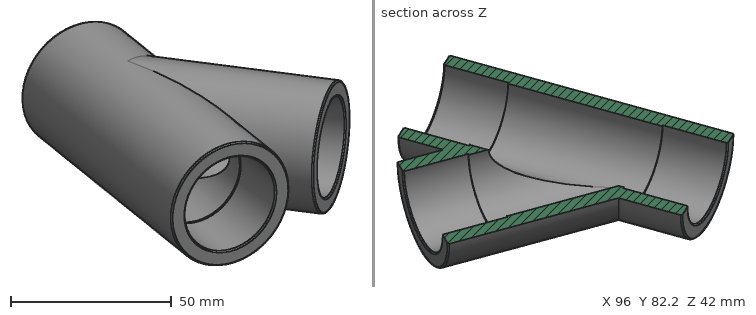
import cadquery as cq
import math

run_length = 96.0
outer_diameter = 42.0
bore_diameter = 31.0
socket_diameter = 32.0
socket_depth = 22.0
edge_chamfer = 0.5
branch_angle = 45.0
branch_length = 66.0
crossing_offset = 30.1

branch_direction = cq.Vector(
    math.cos(math.radians(branch_angle)), math.sin(math.radians(branch_angle)), 0
)
run_direction = cq.Vector(1, 0, 0)
run_start = cq.Vector(-run_length / 2, 0, 0)
crossing = run_start + run_direction * crossing_offset


def cylinder(diameter, length, start, direction):
    """Solid cylinder growing from the start point along the direction."""
    return cq.Workplane(cq.Solid.makeCylinder(diameter / 2, length, start, direction))


def mouth_chamfer(mouth, inward):
    """Cone that bevels the socket edge at a pipe mouth."""
    socket_radius = socket_diameter / 2
    return cq.Workplane(
        cq.Solid.makeCone(
            socket_radius + edge_chamfer, socket_radius, edge_chamfer, mouth, inward
        )
    )


run_body = cylinder(outer_diameter, run_length, run_start, run_direction)
run_body = run_body.faces("<X or >X").chamfer(edge_chamfer)
branch_body = cylinder(outer_diameter, branch_length, crossing, branch_direction)
branch_body = branch_body.faces(cq.selectors.DirectionMinMaxSelector(branch_direction))
branch_body = branch_body.chamfer(edge_chamfer)

result = run_body.union(branch_body)
result = result.cut(cylinder(bore_diameter, run_length, run_start, run_direction))
result = result.cut(cylinder(bore_diameter, branch_length, crossing, branch_direction))

run_end = run_start + run_direction * run_length
branch_end = crossing + branch_direction * branch_length
for mouth, inward in (
    (run_start, run_direction),
    (run_end, -run_direction),
    (branch_end, -branch_direction),
):
    result = result.cut(cylinder(socket_diameter, socket_depth, mouth, inward))
    result = result.cut(mouth_chamfer(mouth, inward))